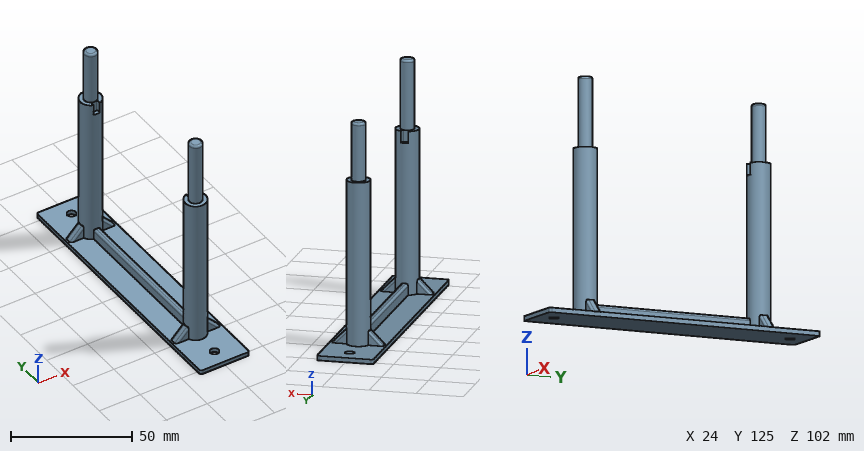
import cadquery as cq

plate_width = 24.0
plate_length = 125.0
plate_thickness = 2.0
plate_corner_radius = 1.0
hole_diameter = 4.0
hole_spacing = 109.0

post_spacing = 80.0
post_diameter = 10.0
post_height = 70.0
pin_diameter = 6.0
pin_tip_radius = 1.0
long_pin_height = 30.0
short_pin_height = 25.0

notch_width = 3.0
notch_depth = 5.0
notch_corner_radius = 0.5

rib_width = 3.0
rib_height = 5.0
rib_edge_radius = 1.0

gusset_width = 4.0
gusset_reach = 6.0
gusset_edge_radius = 1.0

post_radius = post_diameter / 2
pin_radius = pin_diameter / 2
post_offset = post_spacing / 2
post_top = plate_thickness + post_height


def make_plate():
    """Flat base with rounded corners and a mounting hole near each end."""
    return (
        cq.Workplane("XY")
        .rect(plate_width, plate_length)
        .extrude(plate_thickness)
        .edges("|Z")
        .fillet(plate_corner_radius)
        .faces(">Z")
        .workplane()
        .rarray(1, hole_spacing, 1, 2)
        .hole(hole_diameter)
    )


def make_rib():
    """Rib along Y joining the two posts, rounded along its top edges."""
    return (
        cq.Workplane("XY", origin=(0, 0, plate_thickness))
        .rect(rib_width, post_spacing)
        .extrude(rib_height)
        .edges(">Z and |Y")
        .fillet(rib_edge_radius)
    )


def make_gusset():
    """Triangular gusset on the +X side of a post at the origin, rounded along its slope.

    The slope runs on to the post axis so that it merges fully with the round post.
    """
    foot = post_radius + gusset_reach
    gusset = (
        cq.Workplane("XZ", origin=(0, gusset_width / 2, plate_thickness))
        .moveTo(0, 0)
        .lineTo(foot, 0)
        .lineTo(0, foot)
        .close()
        .extrude(gusset_width)
    )
    slope_normal = cq.Vector(1, 0, 1)
    slope = cq.selectors.DirectionMinMaxSelector(slope_normal)
    return gusset.faces(slope).edges("not |Y").fillet(gusset_edge_radius)


def make_post(pin_height):
    """Post on the plate with its pin, gussets and a notch facing +Y, centred on the Z axis."""
    shaft = cq.Workplane("XY", origin=(0, 0, plate_thickness)).circle(post_radius).extrude(post_height)
    notch = (
        cq.Workplane("XY", origin=(0, pin_radius, post_top - notch_depth))
        .box(notch_width, post_radius, notch_depth, centered=(True, False, False))
        .edges("|Z and <Y")
        .fillet(notch_corner_radius)
    )
    pin = (
        cq.Workplane("XY", origin=(0, 0, post_top))
        .circle(pin_radius)
        .extrude(pin_height)
        .faces(">Z")
        .fillet(pin_tip_radius)
    )
    gusset = make_gusset()
    return shaft.cut(notch).union(pin).union(gusset).union(gusset.mirror("YZ"))


front_post = make_post(long_pin_height).translate((0, -post_offset, 0))
rear_post = make_post(short_pin_height).mirror("XZ").translate((0, post_offset, 0))

result = make_plate().union(make_rib()).union(front_post).union(rear_post)